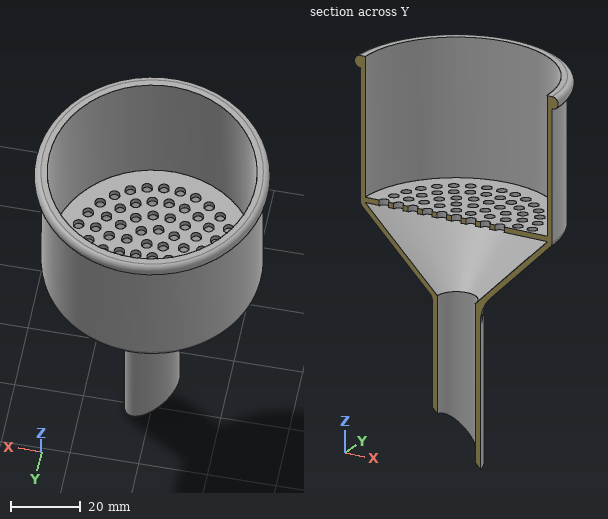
import cadquery as cq
import math

total_height = 119.6
bowl_radius = 63.6 / 2
spout_radius = 16.0 / 2
wall = 1.8
rim_radius = 67.6 / 2
cone_bottom = 50.0
cone_blend_radius = 2.0

hole_diameter = 3.0
ring_pitch = 4.8
ring_count = 5

gusset_count = 3
gusset_sweep = 15
gusset_arc_radius = 12.0

cone_angle = math.radians(45)
cone_top = cone_bottom + (bowl_radius - spout_radius) * math.tan(cone_angle)
bowl_bore_radius = bowl_radius - wall
spout_bore_radius = spout_radius - wall
inner_corner_rise = wall * math.tan(cone_angle / 2)
inner_cone_bottom = cone_bottom + inner_corner_rise
inner_cone_top = cone_top + inner_corner_rise
plate_thickness = wall
plate_top = inner_cone_top + plate_thickness


def revolve_profile(profile):
    """Turn a closed (radius, height) profile around the Z axis."""
    return profile.close().revolve(360, (0, 0, 0), (0, 1, 0))


def outer_body():
    """Solid bowl, cone and spout with rounded transitions."""
    profile = cq.Workplane("XZ").polyline([
        (0, 0),
        (spout_radius, 0),
        (spout_radius, cone_bottom),
        (bowl_radius, cone_top),
        (bowl_radius, total_height),
        (0, total_height),
    ])
    body = revolve_profile(profile)
    for height in (cone_bottom, cone_top):
        corner_edge = cq.selectors.NearestToPointSelector((0, 0, height))
        body = body.edges(corner_edge).fillet(cone_blend_radius)
    return body


def rim():
    """Half-round bead around the mouth of the bowl."""
    bead_radius = rim_radius - bowl_radius
    bead_bottom = total_height - 2 * bead_radius
    profile = (
        cq.Workplane("XZ")
        .moveTo(bowl_bore_radius, bead_bottom)
        .lineTo(bowl_radius, bead_bottom)
        .threePointArc((rim_radius, total_height - bead_radius), (bowl_radius, total_height))
        .lineTo(bowl_bore_radius, total_height)
    )
    return revolve_profile(profile)


def gusset():
    """Sector-shaped rib centered on +X whose concave face is tangent to spout and cone."""
    tangent_length = gusset_arc_radius * math.tan(cone_angle / 2)
    arc_center_x = spout_radius + gusset_arc_radius
    arc_center_z = cone_bottom - tangent_length
    cone_tangent = (
        spout_radius + tangent_length * math.cos(cone_angle),
        cone_bottom + tangent_length * math.sin(cone_angle),
    )
    arc_middle = (
        arc_center_x - gusset_arc_radius * math.cos(cone_angle / 2),
        arc_center_z + gusset_arc_radius * math.sin(cone_angle / 2),
    )
    return (
        cq.Workplane("XZ")
        .moveTo(spout_radius, arc_center_z)
        .threePointArc(arc_middle, cone_tangent)
        .lineTo(spout_bore_radius, cone_tangent[1])
        .lineTo(spout_bore_radius, arc_center_z)
        .close()
        .revolve(gusset_sweep, (0, 0, 0), (0, 1, 0))
        .rotate((0, 0, 0), (0, 0, 1), -gusset_sweep / 2)
    )


def bowl_space():
    """Open space above the plate."""
    return (
        cq.Workplane("XY")
        .workplane(offset=plate_top)
        .circle(bowl_bore_radius)
        .extrude(total_height - plate_top)
    )


def drain_space():
    """Conical space below the plate, running into the spout bore."""
    return revolve_profile(cq.Workplane("XZ").polyline([
        (0, 0),
        (spout_bore_radius, 0),
        (spout_bore_radius, inner_cone_bottom),
        (bowl_bore_radius, inner_cone_top),
        (0, inner_cone_top),
    ]))


def plate_holes():
    """Center hole plus rings that hold as many holes as fit at about one pitch."""
    centers = [(0, 0)]
    for ring in range(1, ring_count + 1):
        hole_count = math.floor(2 * math.pi * ring)
        for index in range(hole_count):
            angle = math.pi + 2 * math.pi * index / hole_count
            centers.append((
                ring * ring_pitch * math.cos(angle),
                ring * ring_pitch * math.sin(angle),
            ))
    return (
        cq.Workplane("XY")
        .workplane(offset=inner_cone_top)
        .pushPoints(centers)
        .circle(hole_diameter / 2)
        .extrude(plate_thickness)
    )


def spout_tip_cut():
    """Wedge that bevels the spout end at 45 degrees, leaving the tip on the +X side."""
    return (
        cq.Workplane("XZ")
        .polyline([
            (spout_radius, 0),
            (-spout_radius, 2 * spout_radius),
            (-spout_radius, 0),
        ])
        .close()
        .extrude(spout_radius, both=True)
    )


result = outer_body().union(rim())
for number in range(gusset_count):
    turn = 360 * number / gusset_count
    result = result.union(gusset().rotate((0, 0, 0), (0, 0, 1), turn))
result = (
    result
    .cut(bowl_space())
    .cut(drain_space())
    .cut(plate_holes())
    .cut(spout_tip_cut())
)